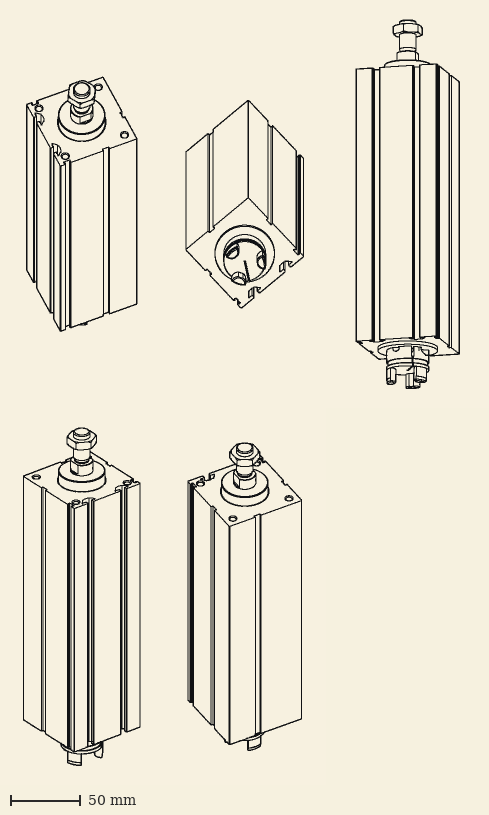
import cadquery as cq
import math

COLLAR_BOTTOM = 24.5
HOUSING_BOTTOM = 27.0
HOUSING_TOP = 227.0
FLATS_BOTTOM = 236.0
NECK_BOTTOM = 243.5
NECK_CONE_BOTTOM = 244.2
THREAD_BOTTOM = 246.3
NUT_BOTTOM = 257.0
ROD_TOP = 267.0

HOUSING_SIDE = 60.0
HALF_SIDE = HOUSING_SIDE / 2
CORNER_CHAMFER = 0.4
COLLAR_DIA = 42.7
BUSH_DIA = 33.5
BUSH_HEIGHT = 7.7
BUSH_CHAMFER = 0.5
BUSH_GROOVE_DIA = 34.7
BUSH_GROOVE_DEPTH = 0.8

RAIL_OFFSET = 6.1
RAIL_WIDTH = 4.8
RAIL_DEPTH = 1.5

T_SLOT_OFFSET = 15.0
T_SLOT_MOUTH = 4.8
T_SLOT_WIDTH = 11.2
T_SLOT_LIP = 2.5
SLOT_EDGE = 0.5
T_SLOT_SHOULDER_WIDTH = 6.0
T_SLOT_SHOULDER_DEPTH = 6.0
T_SLOT_ROOF_WIDTH = 1.5
T_SLOT_DEPTH = 6.5
T_SLOT_TIP_HEIGHT = 0.5

CABLE_SLOT_Y = -24.0
CABLE_SLOT_MOUTH = 3.2
CABLE_SLOT_WIDTH = 4.8
CABLE_SLOT_LIP = 1.0
CABLE_SLOT_DEPTH = 2.5

SCREW_HOLE_OFFSET = 23.2
SCREW_HOLE_DIA = 4.5
SCREW_HOLE_DEPTH = 10.7
COUNTERSINK_DIA = 6.0
COUNTERSINK_DEPTH = 0.8
DRILL_POINT_ANGLE = 118

ROD_DIA = 16.0
ROD_FLATS = 13.5
ROD_CHAMFER = 0.3
NECK_DIA = 10.5
THREAD_DIA = 12.0
THREAD_CHAMFER = 0.8
NUT_SIDES = 6
NUT_FLATS = 18.7
NUT_HEIGHT = 6.1
NUT_CHAMFER_WIDTH = 1.0
NUT_CHAMFER_ANGLE = 30

HUB_DIA = 30.2
HUB_BOTTOM = 10.1
HUB_GROOVE_BOTTOM = 12.5
HUB_GROOVE_TOP = 15.7
HUB_GROOVE_DEPTH = 0.8
CLAMP_BOTTOM = 17.3
SLIT_ANGLE = -60
CLAMP_SLIT_WIDTH = 2.0
HUB_SLIT_WIDTH = 0.8
CLAMP_SCREW_OFFSET = 10.0
CLAMP_SCREW_Z = 23.5
CLAMP_SCREW_DIA = 4.0
CLAMP_HEAD_DIA = 7.5
CLAMP_HEAD_SEAT = 5.0
JAW_COUNT = 3
FIRST_JAW_ANGLE = 90
JAW_DIA = 10.5
JAW_CENTRE_RADIUS = 14.1
JAW_BORE_DIA = 18.7
JAW_TIP_HEIGHT = 3.0
JAW_TIP_INSET = 0.3
JAW_CHAMFER = 0.8


def disc(diameter, bottom, top):
    """Cylinder on the main axis between two heights."""
    return cq.Workplane("XY").workplane(offset=bottom).circle(diameter / 2).extrude(top - bottom)


def prism(points):
    """Closed outline extruded over the length of the housing."""
    length = HOUSING_TOP - HOUSING_BOTTOM
    return cq.Workplane("XY").workplane(offset=HOUSING_BOTTOM).polyline(points).close().extrude(length)


def slot(profile):
    """Symmetric slot in the -Y face, from (half width, depth) pairs, centred on X = 0."""
    right = [(half, depth - HALF_SIDE) for half, depth in profile]
    left = [(-x, y) for x, y in reversed(right)]
    return prism(right + left)


def rail_slot():
    """Shallow rectangular slot."""
    return slot([(RAIL_WIDTH / 2, 0), (RAIL_WIDTH / 2, RAIL_DEPTH)])


def t_slot():
    """Undercut slot with bevelled mouth and sloping roof."""
    mouth = T_SLOT_MOUTH / 2
    wing = T_SLOT_WIDTH / 2
    return slot([
        (mouth + SLOT_EDGE, 0),
        (mouth, SLOT_EDGE),
        (mouth, T_SLOT_LIP),
        (wing, T_SLOT_LIP),
        (wing, T_SLOT_LIP + T_SLOT_TIP_HEIGHT),
        (T_SLOT_SHOULDER_WIDTH / 2, T_SLOT_SHOULDER_DEPTH),
        (T_SLOT_ROOF_WIDTH / 2, T_SLOT_DEPTH),
    ])


def cable_slot():
    """Small undercut slot with a bevelled mouth."""
    mouth = CABLE_SLOT_MOUTH / 2
    inside = CABLE_SLOT_WIDTH / 2
    return slot([
        (mouth + SLOT_EDGE, 0),
        (mouth, SLOT_EDGE),
        (mouth, CABLE_SLOT_LIP),
        (inside, CABLE_SLOT_LIP),
        (inside, CABLE_SLOT_DEPTH),
    ])


def screw_hole():
    """Blind hole down from the origin, with a countersink and a drill point."""
    radius = SCREW_HOLE_DIA / 2
    point_height = radius / math.tan(math.radians(DRILL_POINT_ANGLE / 2))
    outline = [
        (0, 0),
        (COUNTERSINK_DIA / 2, 0),
        (radius, -COUNTERSINK_DEPTH),
        (radius, -SCREW_HOLE_DEPTH),
        (0, -SCREW_HOLE_DEPTH - point_height),
    ]
    return cq.Workplane("XZ").polyline(outline).close().revolve(360, (0, 0), (0, 1))


def build_housing():
    """Square profile with its end bush, collar, slots and screw holes."""
    body = (
        cq.Workplane("XY")
        .workplane(offset=HOUSING_BOTTOM)
        .rect(HOUSING_SIDE, HOUSING_SIDE)
        .extrude(HOUSING_TOP - HOUSING_BOTTOM)
        .edges("|Z")
        .chamfer(CORNER_CHAMFER)
    )

    bush = disc(BUSH_DIA, HOUSING_TOP, HOUSING_TOP + BUSH_HEIGHT).faces(">Z").chamfer(BUSH_CHAMFER)
    groove = disc(BUSH_GROOVE_DIA, HOUSING_TOP - BUSH_GROOVE_DEPTH, HOUSING_TOP).cut(
        disc(BUSH_DIA, HOUSING_TOP - BUSH_GROOVE_DEPTH, HOUSING_TOP)
    )
    body = body.union(bush).cut(groove).union(disc(COLLAR_DIA, COLLAR_BOTTOM, HOUSING_BOTTOM))

    for x in (-T_SLOT_OFFSET, T_SLOT_OFFSET):
        body = body.cut(t_slot().translate((x, 0, 0)))

    turn_to_left = ((0, 0, 0), (0, 0, 1), -90)
    left_slots = (
        rail_slot().rotate(*turn_to_left).translate((0, RAIL_OFFSET, 0)),
        cable_slot().rotate(*turn_to_left).translate((0, CABLE_SLOT_Y, 0)),
    )
    for left_slot in left_slots:
        body = body.cut(left_slot).cut(left_slot.mirror("YZ"))

    body = body.cut(rail_slot().mirror("XZ").translate((RAIL_OFFSET, 0, 0)))

    for x in (-SCREW_HOLE_OFFSET, SCREW_HOLE_OFFSET):
        for y in (-SCREW_HOLE_OFFSET, SCREW_HOLE_OFFSET):
            body = body.cut(screw_hole().translate((x, y, HOUSING_TOP)))

    return body.cut(disc(ROD_DIA, HOUSING_TOP, HOUSING_TOP + BUSH_HEIGHT))


def build_rod():
    """Rod with wrench flats across X, an undercut neck and a threaded end."""
    shaft = disc(ROD_DIA, HOUSING_TOP, NECK_BOTTOM).faces(">Z").chamfer(ROD_CHAMFER)
    flats = (
        cq.Workplane("XY")
        .workplane(offset=FLATS_BOTTOM)
        .rect(ROD_DIA * 2, ROD_DIA * 2)
        .rect(ROD_FLATS, ROD_DIA * 2)
        .extrude(NECK_BOTTOM - FLATS_BOTTOM)
    )
    neck = disc(NECK_DIA, NECK_BOTTOM, NECK_CONE_BOTTOM)
    cone = (
        cq.Workplane("XY")
        .workplane(offset=NECK_CONE_BOTTOM)
        .circle(NECK_DIA / 2)
        .workplane(offset=THREAD_BOTTOM - NECK_CONE_BOTTOM)
        .circle(THREAD_DIA / 2)
        .loft()
    )
    thread = disc(THREAD_DIA, THREAD_BOTTOM, ROD_TOP).faces(">Z").chamfer(THREAD_CHAMFER)
    return shaft.cut(flats).union(neck).union(cone).union(thread)


def build_nut():
    """Hexagon nut with flats facing +-X and chamfered corners."""
    half_side_angle = 180 / NUT_SIDES
    corner_dia = NUT_FLATS / math.cos(math.radians(half_side_angle))
    chamfer_height = NUT_CHAMFER_WIDTH * math.tan(math.radians(NUT_CHAMFER_ANGLE))
    hexagon = (
        cq.Workplane("XY")
        .workplane(offset=NUT_BOTTOM)
        .polygon(NUT_SIDES, corner_dia)
        .extrude(NUT_HEIGHT)
        .rotate((0, 0, 0), (0, 0, 1), half_side_angle)
    )
    blank = disc(corner_dia, NUT_BOTTOM, NUT_BOTTOM + NUT_HEIGHT).faces("<Z or >Z").chamfer(
        chamfer_height, NUT_CHAMFER_WIDTH
    )
    return hexagon.intersect(blank).cut(disc(THREAD_DIA, NUT_BOTTOM, ROD_TOP))


def build_hub():
    """Clamping hub with a groove round it, a radial slit and a screw hole across the slit."""
    hub = disc(HUB_DIA, HUB_BOTTOM, COLLAR_BOTTOM)
    ring = disc(HUB_DIA, HUB_GROOVE_BOTTOM, HUB_GROOVE_TOP).cut(
        disc(HUB_DIA - 2 * HUB_GROOVE_DEPTH, HUB_GROOVE_BOTTOM, HUB_GROOVE_TOP)
    )
    hub = hub.cut(ring)

    for width, bottom, top in (
        (HUB_SLIT_WIDTH, HUB_BOTTOM, CLAMP_BOTTOM),
        (CLAMP_SLIT_WIDTH, CLAMP_BOTTOM, COLLAR_BOTTOM),
    ):
        slit = cq.Workplane("XY").box(HUB_DIA / 2, width, top - bottom, centered=(False, True, False))
        hub = hub.cut(slit.rotate((0, 0, 0), (0, 0, 1), SLIT_ANGLE).translate((0, 0, bottom)))

    screw_axis = cq.Workplane("XZ").center(CLAMP_SCREW_OFFSET, CLAMP_SCREW_Z)
    hole = screw_axis.circle(CLAMP_SCREW_DIA / 2).extrude(HUB_DIA / 2, both=True)
    head = screw_axis.workplane(offset=-CLAMP_HEAD_SEAT).circle(CLAMP_HEAD_DIA / 2).extrude(-HUB_DIA / 2)
    return hub.cut(hole.union(head).rotate((0, 0, 0), (0, 0, 1), SLIT_ANGLE))


def build_jaw(angle):
    """Round claw trimmed to the hub diameter and to the central bore, with a bevelled tip."""
    claw = (
        cq.Workplane("XY")
        .center(JAW_CENTRE_RADIUS, 0)
        .circle(JAW_DIA / 2)
        .extrude(HUB_BOTTOM)
        .faces("<Z")
        .chamfer(JAW_CHAMFER)
    )
    tip_dia = HUB_DIA - 2 * JAW_TIP_INSET
    tip = disc(tip_dia, 0, JAW_TIP_HEIGHT).faces("<Z").chamfer(JAW_CHAMFER)
    envelope = disc(HUB_DIA, JAW_TIP_HEIGHT, HUB_BOTTOM).union(tip)
    bore = disc(JAW_BORE_DIA, 0, HUB_BOTTOM)
    jaw = claw.intersect(envelope).cut(bore)
    return jaw.rotate((0, 0, 0), (0, 0, 1), angle)


housing = build_housing()
rod = build_rod()
nut = build_nut()
hub = build_hub()
jaws = [build_jaw(FIRST_JAW_ANGLE + i * 360 / JAW_COUNT) for i in range(JAW_COUNT)]

result = cq.Compound.makeCompound(
    [housing.val(), rod.val(), nut.val(), hub.val(), *[jaw.val() for jaw in jaws]]
)